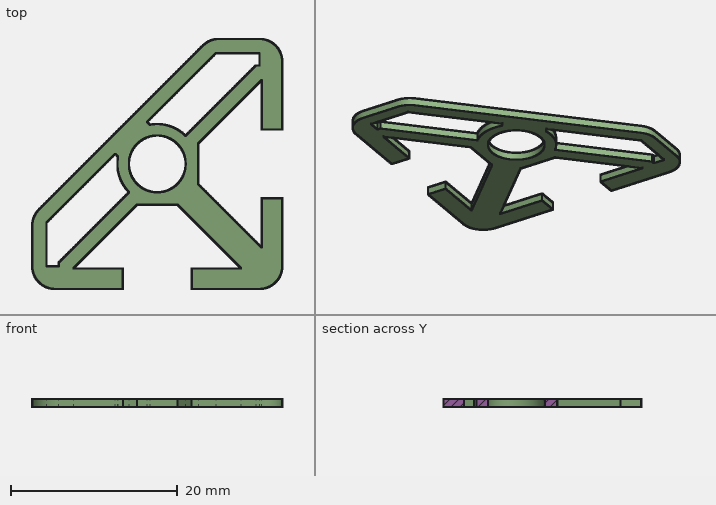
import cadquery as cq
import math

side = 30.0
thickness = 1.0
half_side = side / 2
corner_radius = 2.75
bevel_offset = 8.73

bore_radius = 3.4
ring_radius = 4.8

lip_thickness = 2.5
slot_half_opening = 4.1
slot_floor = 4.92
rib_offset = 2.5

window_bevel_offset = 6.25
window_top = 13.25
window_end = 12.25
window_notch = 11.82
window_start_sum = 3.85

lip_inner = half_side - lip_thickness


def mirrored(points):
    """Reflect points about the diagonal y = -x."""
    return [(-y, -x) for x, y in points]


def plate(points):
    return cq.Workplane("XY").polyline(points).close().extrude(thickness)


def outer_body():
    bevel_end = half_side - bevel_offset
    outline = [
        (-half_side, -half_side),
        (half_side, -half_side),
        (half_side, half_side),
        (bevel_end, half_side),
        (-half_side, -bevel_end),
    ]
    return plate(outline).edges("|Z").fillet(corner_radius)


floor_half = slot_floor - rib_offset
flank_end = lip_inner - rib_offset
slot_points = [
    (slot_floor, -floor_half),
    (lip_inner, -flank_end),
    (lip_inner, -slot_half_opening),
    (half_side, -slot_half_opening),
    (half_side, slot_half_opening),
    (lip_inner, slot_half_opening),
    (lip_inner, flank_end),
    (slot_floor, floor_half),
]

ring_reach = ring_radius * math.sqrt(0.5)
inner_edge_x = (window_start_sum - window_bevel_offset) / 2
ring_half_chord = math.sqrt(ring_radius**2 - window_start_sum**2 / 2)
ring_start = (
    window_start_sum / 2 - ring_half_chord * math.sqrt(0.5),
    window_start_sum / 2 + ring_half_chord * math.sqrt(0.5),
)
arc_angle = (math.atan2(ring_start[1], ring_start[0]) + math.pi / 4) / 2
ring_middle = (ring_radius * math.cos(arc_angle), ring_radius * math.sin(arc_angle))
window_points = [
    (ring_reach, ring_reach),
    (window_notch, window_notch),
    (window_end, window_notch),
    (window_end, window_top),
    (window_top - window_bevel_offset, window_top),
    (inner_edge_x, inner_edge_x + window_bevel_offset),
    ring_start,
]


def window(points, arc_middle):
    outline = cq.Workplane("XY").polyline(points)
    return outline.threePointArc(arc_middle, points[0]).close().extrude(thickness)


result = outer_body()
for opening in (slot_points, mirrored(slot_points)):
    result = result.cut(plate(opening))
result = result.cut(window(window_points, ring_middle))
result = result.cut(window(mirrored(window_points), mirrored([ring_middle])[0]))
result = result.cut(cq.Workplane("XY").circle(bore_radius).extrude(thickness))